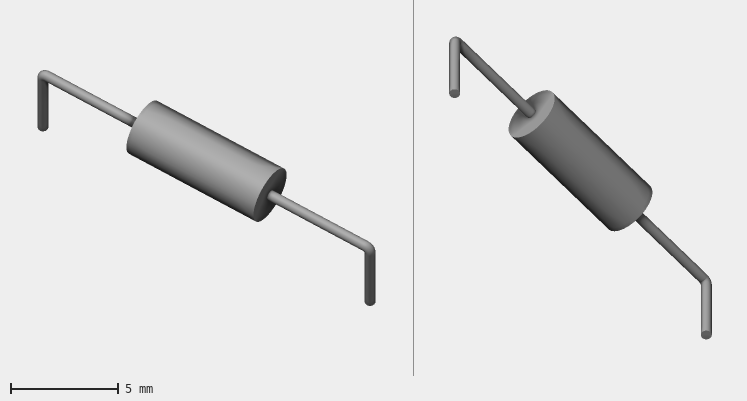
import cadquery as cq

overall_length = 18.78
overall_height = 5.58
housing_diameter = 2.8
housing_length = 7.1
lead_diameter = 0.5
bend_radius = 0.26

lead_radius = lead_diameter / 2
lead_x = overall_length / 2 - lead_radius
lead_bottom_z = housing_diameter / 2 - overall_height
bend_start_x = lead_x - bend_radius
bend_end_z = -bend_radius


def make_housing():
    """Plain cylindrical housing lying along X."""
    return (
        cq.Workplane("YZ")
        .workplane(offset=-housing_length / 2)
        .circle(housing_diameter / 2)
        .extrude(housing_length)
    )


def make_lead(side):
    """Bent wire from one housing end face; side is +1 for the +X end and -1 for the -X end."""
    arm = (
        cq.Workplane("YZ")
        .workplane(offset=housing_length / 2)
        .circle(lead_radius)
        .extrude(bend_start_x - housing_length / 2)
    )
    bend = (
        cq.Workplane("YZ")
        .workplane(offset=bend_start_x)
        .circle(lead_radius)
        .revolve(90, (0, -bend_radius, 0), (1, -bend_radius, 0))
    )
    leg = (
        cq.Workplane("XY")
        .workplane(offset=lead_bottom_z)
        .center(lead_x, 0)
        .circle(lead_radius)
        .extrude(bend_end_z - lead_bottom_z)
    )
    lead = arm.union(bend).union(leg)
    if side < 0:
        lead = lead.rotate((0, 0, 0), (0, 0, 1), 180)
    return lead


housing = make_housing()
leads = [make_lead(side) for side in (-1, 1)]

result = cq.Compound.makeCompound([housing.val(), *[lead.val() for lead in leads]])